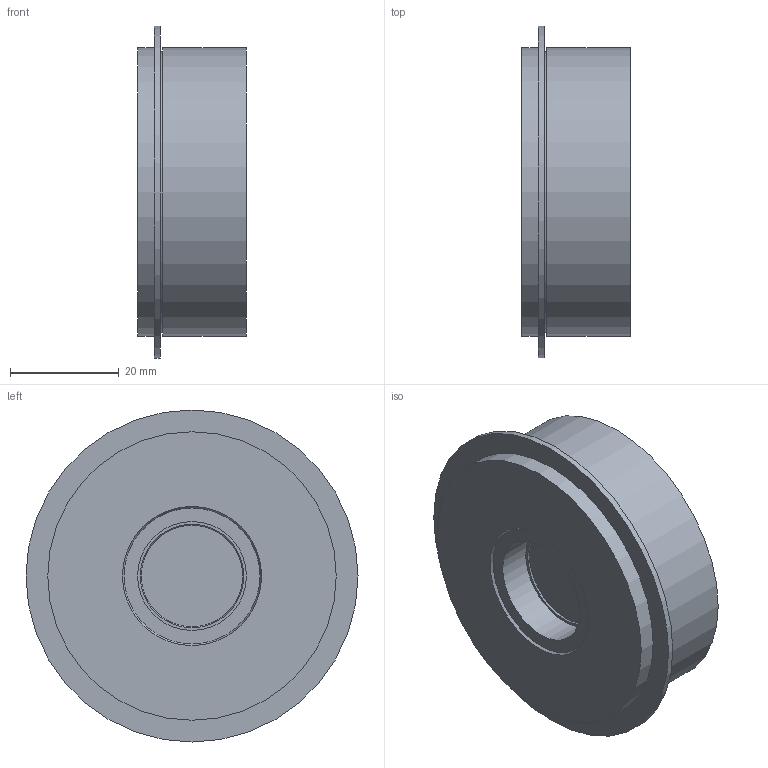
import cadquery as cq
import math


length = 20.0
body_diameter = 53.0
flange_diameter = 61.0
flange_start = 3.1
flange_width = 1.1

groove_diameter = 51.5
groove_width = 0.4

taper_angle = 30.0
recess_floor_diameter = 25.0
recess_depth = 0.5
dimple_mouth_diameter = 19.0
dimple_depth = 0.3

bore_diameter = 20.0
bore_depth = 6.5

groove_start = flange_start + flange_width
rear_start = groove_start + groove_width
taper_slope = math.tan(math.radians(taper_angle))
recess_mouth_diameter = recess_floor_diameter + 2 * recess_depth * taper_slope
dimple_floor_diameter = dimple_mouth_diameter - 2 * dimple_depth * taper_slope


def cylinder(diameter, start, width):
    """Solid cylinder along +X, beginning at X = start."""
    return cq.Workplane("YZ").workplane(offset=start).circle(diameter / 2).extrude(width)


def cone(mouth_diameter, floor_diameter, start, depth):
    """Truncated cone along +X, with its mouth at X = start."""
    end = start + depth
    profile = [(start, 0), (start, mouth_diameter / 2), (end, floor_diameter / 2), (end, 0)]
    return cq.Workplane("XY").polyline(profile).close().revolve(360, (0, 0, 0), (1, 0, 0))


def make_body():
    front = cylinder(body_diameter, 0, flange_start)
    flange = cylinder(flange_diameter, flange_start, flange_width)
    neck = cylinder(groove_diameter, groove_start, groove_width)
    rear = cylinder(body_diameter, rear_start, length - rear_start)
    return front.union(flange).union(neck).union(rear)


def cut_recess(body):
    return body.cut(cone(recess_mouth_diameter, recess_floor_diameter, 0, recess_depth))


def cut_bore(body):
    bore = cylinder(bore_diameter, 0, bore_depth)
    dimple = cone(dimple_mouth_diameter, dimple_floor_diameter, bore_depth, dimple_depth)
    return body.cut(bore).cut(dimple)


result = cut_bore(cut_recess(make_body()))